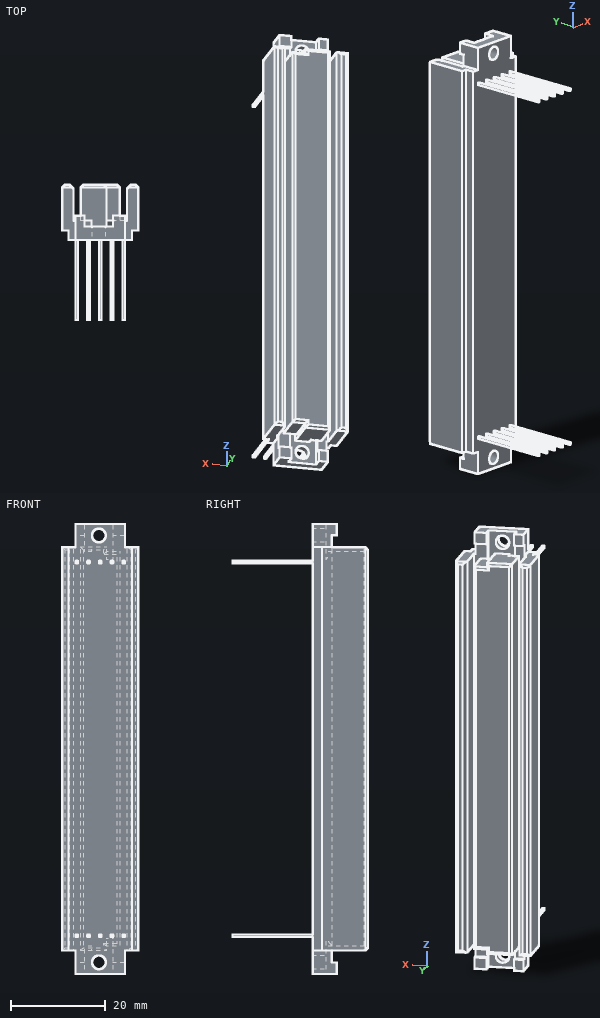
import cadquery as cq

total_length = 94.9
total_width = 16.0
housing_height = 11.7
overlap = 0.5

lug_length = 4.9
lug_width = 10.5
lug_height = 5.1
hook_length = 2.5
base_width = 13.5
floor_height = 4.1
body_length = total_length - 2 * lug_length
body_end = body_length / 2

notch_offset = -0.3
notch_width = 6.0
notch_floor = 2.8
hole_diameter = 2.8
hole_from_end = 2.5

shoulder_height = 2.0
channel_width = 11.2
rim_chamfer = 0.6
wall_inner_chamfer = 0.9

tongue_width = 8.3
key_width = 3.1
tongue_step = 0.95
key_left = notch_offset - key_width / 2
key_right = notch_offset + key_width / 2

recess_width = (notch_width - key_width) / 2
recess_depth = 0.95
ramp_depth = 1.6

pin_diameter = 0.6
pin_length = 16.9
pin_count = 5
pin_pitch = 2.5
pin_row_from_end = 8.1


def block(x_min, x_max, y_min, y_max, z_min, z_max):
    """Box given by its limits along each axis."""
    return cq.Workplane("XY").box(
        x_max - x_min, y_max - y_min, z_max - z_min, centered=False
    ).translate((x_min, y_min, z_min))


def centred_block(width, y_min, y_max, length):
    """Box centred on X and Z."""
    return block(-width / 2, width / 2, y_min, y_max, -length / 2, length / 2)


def make_wall():
    """Side wall on +X with a chamfered rim."""
    inner = channel_width / 2
    outer = total_width / 2
    wall = (
        cq.Workplane("XY")
        .moveTo(inner, shoulder_height)
        .lineTo(outer, shoulder_height)
        .lineTo(outer, housing_height - rim_chamfer)
        .lineTo(outer - rim_chamfer, housing_height)
        .lineTo(inner + wall_inner_chamfer, housing_height)
        .lineTo(inner, housing_height - wall_inner_chamfer)
        .close()
        .extrude(body_end, both=True)
    )
    return wall.faces(">Y").edges("|X").chamfer(rim_chamfer)


def make_tongue():
    """Centre tongue, set back at both ends on its +X side."""
    half = tongue_width / 2
    low_end = body_end - tongue_step
    outline = [
        (-half, -body_end),
        (key_right, -body_end),
        (key_right, -low_end),
        (half, -low_end),
        (half, low_end),
        (key_right, low_end),
        (key_right, body_end),
        (-half, body_end),
    ]
    height = housing_height - floor_height + overlap
    tongue = cq.Workplane("XZ").polyline(outline).close().extrude(-height)
    tongue = tongue.translate((0, floor_height - overlap, 0))
    return tongue.faces(">Y").edges().chamfer(rim_chamfer)


def make_lug_cuts():
    """Notch, mounting hole and recesses at the +Z end."""
    notch_left = notch_offset - notch_width / 2
    notch_right = notch_offset + notch_width / 2
    notch = block(notch_left, notch_right, notch_floor, lug_height, body_end, total_length / 2)
    hole = (
        cq.Workplane("XZ")
        .center(notch_offset, total_length / 2 - hole_from_end)
        .circle(hole_diameter / 2)
        .extrude(-lug_height)
    )
    recess = block(
        notch_left, key_left, notch_floor, floor_height, body_end - recess_depth, body_end
    )
    low_end = body_end - tongue_step
    ramp = (
        cq.Workplane("YZ")
        .moveTo(notch_floor, body_end)
        .lineTo(floor_height, body_end)
        .lineTo(floor_height, low_end)
        .lineTo(notch_floor, low_end - ramp_depth)
        .close()
        .extrude(recess_width)
        .translate((key_right, 0, 0))
    )
    return notch.union(hole).union(recess).union(ramp)


def make_pins():
    """Two rows of round pins standing out of the back face."""
    row_height = total_length / 2 - pin_row_from_end
    first_pin = -pin_pitch * (pin_count - 1) / 2
    centres = [
        (first_pin + i * pin_pitch, side * row_height)
        for i in range(pin_count)
        for side in (-1, 1)
    ]
    pins = cq.Workplane("XZ").pushPoints(centres).circle(pin_diameter / 2)
    return pins.extrude(pin_length + overlap).translate((0, overlap, 0))


housing = centred_block(base_width, 0, floor_height, body_length)
housing = housing.union(centred_block(lug_width, 0, floor_height, total_length))
hook = block(
    -lug_width / 2, lug_width / 2, 0, lug_height, total_length / 2 - hook_length, total_length / 2
)
housing = housing.union(hook).union(hook.mirror("XY"))

wall = make_wall()
housing = housing.union(wall).union(wall.mirror("YZ")).union(make_tongue())

lug_cuts = make_lug_cuts()
housing = housing.cut(lug_cuts).cut(lug_cuts.mirror("XY"))

result = housing.union(make_pins())